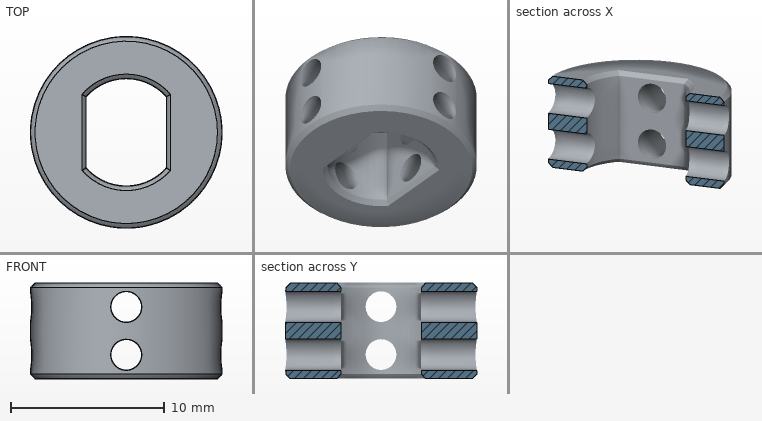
import cadquery as cq

outer_diameter = 12.5
height = 6.25
rim_chamfer = 0.3

bore_diameter = 7.0
bore_width_across_flats = 5.25
flat_chamfer_width = 0.25

radial_hole_diameter = 2.0
hole_levels = (height / 4, height * 3 / 4)
hole_planes = ("YZ", "XZ")


def collar_body():
    """Solid disc standing on Z = 0 with both outer rims chamfered."""
    disc = cq.Workplane("XY").circle(outer_diameter / 2).extrude(height)
    return disc.faces("<Z or >Z").edges().chamfer(rim_chamfer)


def flared_profile(half_width, flare):
    """Half section in XZ of a through opening that widens by the flare at both ends."""
    return (
        cq.Workplane("XZ")
        .moveTo(0, 0)
        .lineTo(half_width + flare, 0)
        .lineTo(half_width, rim_chamfer)
        .lineTo(half_width, height - rim_chamfer)
        .lineTo(half_width + flare, height)
        .lineTo(0, height)
        .close()
    )


def double_d_bore():
    """Through bore with chamfered rims: a round opening limited by a flat-sided one."""
    round_profile = flared_profile(bore_diameter / 2, rim_chamfer)
    round_opening = round_profile.revolve(360, (0, 0), (0, 1))
    flat_profile = flared_profile(bore_width_across_flats / 2, flat_chamfer_width)
    half_slot = flat_profile.extrude(outer_diameter / 2, both=True)
    flat_opening = half_slot.union(half_slot.mirror("YZ"))
    return round_opening.intersect(flat_opening)


def radial_hole(plane, level):
    """Straight hole across the whole collar at the given height."""
    return (
        cq.Workplane(plane, origin=(0, 0, level))
        .circle(radial_hole_diameter / 2)
        .extrude(outer_diameter / 2, both=True)
    )


result = collar_body().cut(double_d_bore())
for plane in hole_planes:
    for level in hole_levels:
        result = result.cut(radial_hole(plane, level))